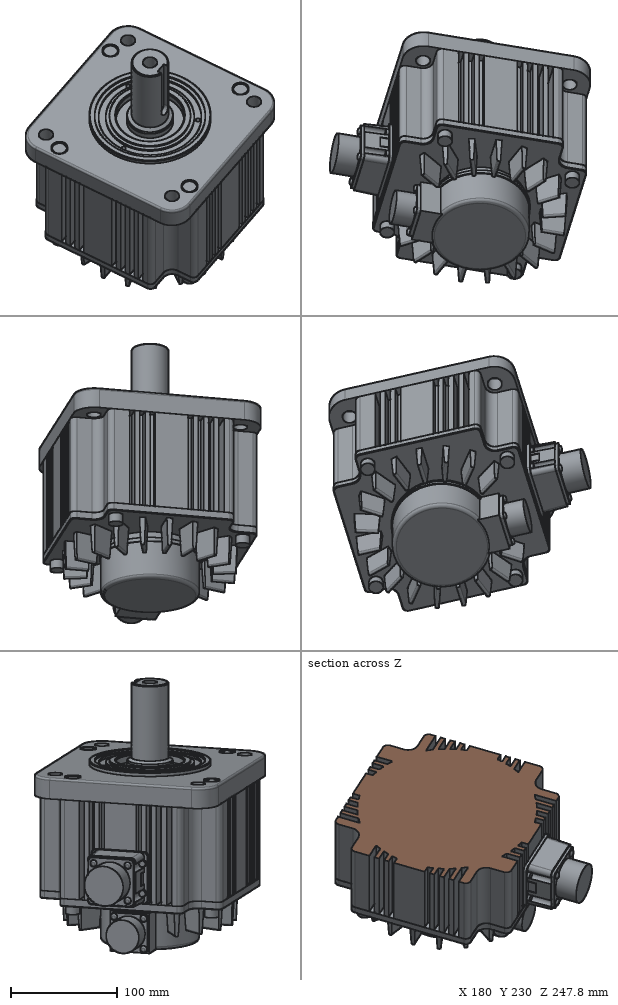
import cadquery as cq
import math


flange_width = 180.0
half_width = flange_width / 2
flange_thickness = 20.0
flange_corner_radius = 20.0
flange_edge_radius = 2.0
mount_hole_offset = 70.5
mount_hole_diameter = 13.4

tie_bolt_x = 51.0
tie_bolt_y = 77.5
tie_recess_diameter = 15.4
tie_recess_depth = 1.2
tie_plug_diameter = 13.5
tie_plug_height = 0.7
tie_head_diameter = 13.4
tie_head_height = 8.7

body_width = 179.8
cap_width = flange_width
body_bottom = -115.0
cap_bottom = -122.4
cap_edge_chamfer = 0.7
cove_radius = 9.7
notch_depth = half_width - mount_hole_offset + cove_radius
lobe_edge_radius = 5.2
groove_start = 15.9
groove_width = 5.0
groove_pitch = 10.0
groove_floor_radius = 84.5
grooves_on_long_side = 4
grooves_on_short_side = 3

spigot_radius = 57.2
spigot_height = 4.0
spigot_chamfer = 0.7
shallow_step_radii = (38.1, 52.0)
shallow_step_depth = 1.7
deep_step_radii = (41.5, 48.3)
deep_step_depth = 3.7
bore_radius = 32.0
bore_floor = -3.5
bore_chamfer = 1.0
small_hole_circle_radius = 45.0
small_hole_diameter = 4.0
small_hole_depth = 7.5
small_hole_angles = (30, 150, 270)

shaft_top = 78.8
shaft_radius = 17.46
shaft_chamfer = 1.0
collar_radius = 22.0
collar_top = 2.5
collar_cone_radius = 21.3
collar_cone_bottom = 4.2
collar_cone_top = 6.5
centre_hole_radius = 6.7
centre_hole_depth = 19.8
drill_half_angle = math.radians(59)
keyway_width = 11.0
keyway_floor_x = 12.1
keyway_length = 62.0

fin_count = 20
fin_bottom = -149.5
fin_root_width = 5.7
fin_tip_width = 3.5
fin_inner_radii = (58.2, 59.7)
fin_outer_radii = (82.2, 81.0)
fin_free_angles = (72, 90, 108)

cover_radius = 46.3
cover_bottom = -169.0
cover_edge_radius = 3.5
neck_radius = 44.5
neck_bottom = -129.0
rim_radius = 47.3
rim_bottom = -132.8

encoder_z = -149.0
encoder_box_half = 19.3
encoder_box_end = 61.0
encoder_plate_half = 18.3
encoder_plate_end = 64.5
encoder_barrel_radius = 16.0
encoder_barrel_end = 83.5
encoder_screw_offset = 14.5

power_z = -89.5
power_foot_half_x = 27.7
power_foot_half_z = 24.8
power_foot_thickness = 3.0
power_foot_end = half_width + power_foot_thickness
power_box_half = 24.5
power_box_end = 116.2
power_box_draft_angle = 2.0
power_corner_radius = 4.5
power_plate_half = 22.3
power_plate_end = 119.1
power_barrel_radius = 19.0
overall_depth = 230.0
power_barrel_end = overall_depth - half_width
plate_corner_radius = 3.7
power_screw_offset = 16.8
screw_dome_radius = 3.2
screw_dome_height = 2.2
screw_dome_edge_radius = 1.7
foot_screw_x = 23.5
foot_screw_z = 14.25
foot_screw_radius = 3.2
foot_screw_height = 3.0
foot_pocket_radius = 4.0
side_recess_half_height = 6.0
side_recess_length = 8.2
side_recess_depth = 0.7


def disc(radius, bottom, top):
    """Cylinder on the motor axis between two heights."""
    return cq.Workplane("XY").workplane(offset=bottom).circle(radius).extrude(top - bottom)


def box_along_y(half_x, half_z, z, start, end, taper=0):
    """Rectangular block centred on X = 0, running along +Y from start to end."""
    plane = cq.Workplane("XZ", origin=(0, start, z))
    return plane.rect(2 * half_x, 2 * half_z).extrude(start - end, taper=taper)


def rod_along_y(radius, x, z, start, end):
    """Cylinder parallel to Y, running from start to end."""
    return cq.Workplane("XZ", origin=(x, start, z)).circle(radius).extrude(start - end)


def four_fold(shape):
    """Union of a shape with its copies turned by 90, 180 and 270 degrees."""
    pattern = shape
    for turn in (90, 180, 270):
        pattern = pattern.union(shape.rotate((0, 0, 0), (0, 0, 1), turn))
    return pattern


def make_flange():
    """Rounded square plate with mounting holes and recesses around the tie bolt ends."""
    flange = (
        cq.Workplane("XY")
        .workplane(offset=-flange_thickness)
        .rect(flange_width, flange_width)
        .extrude(flange_thickness)
        .edges("|Z")
        .fillet(flange_corner_radius)
        .faces(">Z")
        .edges()
        .fillet(flange_edge_radius)
    )
    mount_holes = (
        cq.Workplane("XY")
        .rect(2 * mount_hole_offset, 2 * mount_hole_offset, forConstruction=True)
        .vertices()
        .circle(mount_hole_diameter / 2)
        .extrude(-flange_thickness)
    )
    recess = disc(tie_recess_diameter / 2, -tie_recess_depth, 0)
    plug = disc(tie_plug_diameter / 2, -tie_recess_depth, tie_plug_height - tie_recess_depth)
    recess = recess.cut(plug).translate((tie_bolt_x, tie_bolt_y, 0))
    return flange.cut(mount_holes).cut(four_fold(recess))


def housing_section(width, bottom, top):
    """Square prism with a coved notch at each corner."""
    notch_spacing = width - notch_depth
    inner_half = width / 2 - notch_depth / 2
    height = top - bottom
    plane = cq.Workplane("XY").workplane(offset=bottom)
    prism = plane.rect(width, width).extrude(height)
    notches = (
        plane.rect(notch_spacing, notch_spacing, forConstruction=True)
        .vertices()
        .rect(notch_depth, notch_depth)
        .extrude(height)
    )
    prism = prism.cut(notches)
    inner = cq.selectors.BoxSelector(
        (-inner_half, -inner_half, bottom), (inner_half, inner_half, top)
    )
    prism = prism.edges("|Z").edges(inner).fillet(cove_radius)
    for side in (">X", "<X", ">Y", "<Y"):
        prism = prism.faces(side).edges("|Z").fillet(lobe_edge_radius)
    return prism


def make_housing():
    """Grooved stator body closed by a plain end cap that carries the tie bolt heads."""
    body = housing_section(body_width, body_bottom, -flange_thickness)
    height = -flange_thickness - body_bottom
    grooves = cq.Workplane("XY")
    for direction, count in ((1, grooves_on_long_side), (-1, grooves_on_short_side)):
        for index in range(count):
            x = direction * (groove_start + groove_width / 2 + index * groove_pitch)
            groove = (
                cq.Workplane("XY", origin=(x, -half_width / 2, body_bottom))
                .rect(groove_width, half_width)
                .extrude(height)
            )
            grooves = grooves.add(groove)
    grooves = grooves.combine().cut(disc(groove_floor_radius, body_bottom, -flange_thickness))
    cap = housing_section(cap_width, cap_bottom, body_bottom).faces("<Z").edges().chamfer(cap_edge_chamfer)
    head = disc(tie_head_diameter / 2, cap_bottom - tie_head_height, cap_bottom)
    heads = four_fold(head.translate((tie_bolt_x, tie_bolt_y, 0)))
    return body.cut(four_fold(grooves)).union(cap).union(heads)


def make_spigot():
    """Centring disc whose face steps down to a ring with three small holes."""
    spigot = disc(spigot_radius, bore_floor, spigot_height).faces(">Z").edges().chamfer(spigot_chamfer)
    steps = ((shallow_step_radii, shallow_step_depth), (deep_step_radii, deep_step_depth))
    for (inner, outer), depth in steps:
        floor = spigot_height - depth
        spigot = spigot.cut(disc(outer, floor, spigot_height).cut(disc(inner, floor, spigot_height)))
    for angle in small_hole_angles:
        x = small_hole_circle_radius * math.cos(math.radians(angle))
        y = small_hole_circle_radius * math.sin(math.radians(angle))
        hole = disc(small_hole_diameter / 2, spigot_height - small_hole_depth, spigot_height)
        spigot = spigot.cut(hole.translate((x, y, 0)))
    return spigot


def make_bearing_bore():
    """Recess around the shaft, with a chamfered mouth in the spigot face."""
    return (
        cq.Workplane("XZ")
        .moveTo(0, bore_floor)
        .lineTo(bore_radius, bore_floor)
        .lineTo(bore_radius, spigot_height - bore_chamfer)
        .lineTo(bore_radius + bore_chamfer, spigot_height)
        .lineTo(0, spigot_height)
        .close()
        .revolve(360, (0, 0, 0), (0, 1, 0))
    )


def make_shaft():
    """Collared shaft with a drilled centre and a keyway open at the top, rounded at its lower end."""
    shaft = (
        cq.Workplane("XZ")
        .moveTo(0, bore_floor)
        .lineTo(collar_radius, bore_floor)
        .lineTo(collar_radius, collar_top)
        .lineTo(collar_cone_radius, collar_cone_bottom)
        .lineTo(shaft_radius, collar_cone_top)
        .lineTo(shaft_radius, shaft_top - shaft_chamfer)
        .lineTo(shaft_radius - shaft_chamfer, shaft_top)
        .lineTo(0, shaft_top)
        .close()
        .revolve(360, (0, 0, 0), (0, 1, 0))
    )
    hole_floor = shaft_top - centre_hole_depth
    centre_hole = (
        cq.Workplane("XZ")
        .moveTo(0, shaft_top)
        .lineTo(centre_hole_radius, shaft_top)
        .lineTo(centre_hole_radius, hole_floor)
        .lineTo(0, hole_floor - centre_hole_radius / math.tan(drill_half_angle))
        .close()
        .revolve(360, (0, 0, 0), (0, 1, 0))
    )
    end_arc_z = shaft_top - keyway_length + keyway_width / 2
    keyway = (
        cq.Workplane("YZ", origin=(keyway_floor_x, 0, 0))
        .moveTo(-keyway_width / 2, shaft_top)
        .lineTo(-keyway_width / 2, end_arc_z)
        .threePointArc((0, shaft_top - keyway_length), (keyway_width / 2, end_arc_z))
        .lineTo(keyway_width / 2, shaft_top)
        .close()
        .extrude(shaft_radius)
    )
    return shaft.cut(centre_hole).cut(keyway)


def make_fins():
    """Radial fins that thin towards a rounded tip, trimmed to a drafted ring."""
    root_half = fin_root_width / 2
    tip_half = fin_tip_width / 2
    tip_start = fin_bottom + tip_half
    fin = (
        cq.Workplane("YZ")
        .moveTo(-root_half, cap_bottom)
        .lineTo(-tip_half, tip_start)
        .threePointArc((0, fin_bottom), (tip_half, tip_start))
        .lineTo(root_half, cap_bottom)
        .close()
        .extrude(half_width)
    )
    ring = (
        cq.Workplane("XZ")
        .moveTo(fin_inner_radii[0], cap_bottom)
        .lineTo(fin_inner_radii[1], fin_bottom)
        .lineTo(fin_outer_radii[1], fin_bottom)
        .lineTo(fin_outer_radii[0], cap_bottom)
        .close()
        .revolve(360, (0, 0, 0), (0, 1, 0))
    )
    fin = fin.intersect(ring)
    fins = cq.Workplane("XY")
    pitch = 360 // fin_count
    for angle in range(0, 360, pitch):
        if angle not in fin_free_angles:
            fins = fins.add(fin.rotate((0, 0, 0), (0, 0, 1), angle))
    return fins.combine()


def make_encoder_cover():
    """Round cover hung below the end cap on a narrower neck and a wider rim."""
    cover = disc(cover_radius, cover_bottom, rim_bottom).faces("<Z").edges().fillet(cover_edge_radius)
    rim = disc(rim_radius, rim_bottom, neck_bottom)
    neck = disc(neck_radius, neck_bottom, cap_bottom)
    return cover.union(rim).union(neck)


def make_socket(z, plate_half, plate_start, plate_end, screw_offset, barrel_radius, barrel_end):
    """Square connector plate with four corner screws and a round barrel."""
    socket = box_along_y(plate_half, plate_half, z, plate_start, plate_end)
    socket = socket.edges("|Y").fillet(plate_corner_radius)
    socket = socket.union(rod_along_y(barrel_radius, 0, z, plate_end, barrel_end))
    for x_side in (-1, 1):
        for z_side in (-1, 1):
            x = x_side * screw_offset
            screw_z = z + z_side * screw_offset
            screw = rod_along_y(screw_dome_radius, x, screw_z, plate_end, plate_end + screw_dome_height)
            socket = socket.union(screw.faces(">Y").edges().fillet(screw_dome_edge_radius))
    return socket


def make_encoder_connector():
    """Square box growing out of the encoder cover, ending in a round socket."""
    box = box_along_y(encoder_box_half, encoder_box_half, encoder_z, 0, encoder_box_end)
    socket = make_socket(
        encoder_z, encoder_plate_half, encoder_box_end, encoder_plate_end,
        encoder_screw_offset, encoder_barrel_radius, encoder_barrel_end,
    )
    return box.union(socket)


def make_power_connector():
    """Drafted box on a screwed foot, with the screws set in pockets along its corners."""
    foot = box_along_y(power_foot_half_x, power_foot_half_z, power_z, body_width / 2, power_foot_end)
    foot = foot.edges("|Y").fillet(power_corner_radius)
    box = box_along_y(
        power_box_half, power_box_half, power_z, power_foot_end, power_box_end, power_box_draft_angle
    )
    box = box.edges("not(#Y)").fillet(power_corner_radius)
    screws = cq.Workplane("XY")
    for x_side in (-1, 1):
        recess = cq.Workplane("XY").box(
            2 * side_recess_depth, 2 * side_recess_length, 2 * side_recess_half_height
        )
        box = box.cut(recess.translate((x_side * power_box_half, power_foot_end, power_z)))
        for z_side in (-1, 1):
            x = x_side * foot_screw_x
            z = power_z + z_side * foot_screw_z
            box = box.cut(rod_along_y(foot_pocket_radius, x, z, power_foot_end, power_box_end))
            screw_top = power_foot_end + foot_screw_height
            screws = screws.add(rod_along_y(foot_screw_radius, x, z, power_foot_end, screw_top))
    socket = make_socket(
        power_z, power_plate_half, power_box_end, power_plate_end,
        power_screw_offset, power_barrel_radius, power_barrel_end,
    )
    return foot.union(box).union(screws.combine()).union(socket)


result = (
    make_flange()
    .union(make_housing())
    .union(make_spigot())
    .cut(make_bearing_bore())
    .union(make_shaft())
    .union(make_fins())
    .union(make_encoder_cover())
    .union(make_encoder_connector())
    .union(make_power_connector())
)